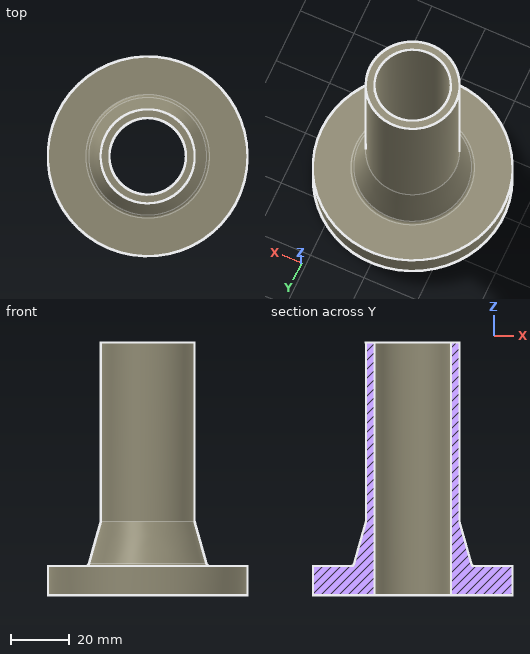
import cadquery as cq

total_height = 86.0
flange_diameter = 68.0
flange_thickness = 10.0
tube_diameter = 32.0
bore_diameter = 26.0
neck_top_z = 25.0
neck_base_diameter = 40.5
neck_fillet_radius = 1.0

flange_radius = flange_diameter / 2
tube_radius = tube_diameter / 2
bore_radius = bore_diameter / 2
neck_base_radius = neck_base_diameter / 2

half_section = (
    cq.Workplane("XZ")
    .moveTo(bore_radius, 0)
    .lineTo(flange_radius, 0)
    .lineTo(flange_radius, flange_thickness)
    .lineTo(neck_base_radius, flange_thickness)
    .lineTo(tube_radius, neck_top_z)
    .lineTo(tube_radius, total_height)
    .lineTo(bore_radius, total_height)
    .close()
)

stub = half_section.revolve(360, (0, 0, 0), (0, 1, 0))

neck_corner = cq.selectors.RadiusNthSelector(2)
result = stub.edges("%CIRCLE").edges(neck_corner).fillet(neck_fillet_radius)